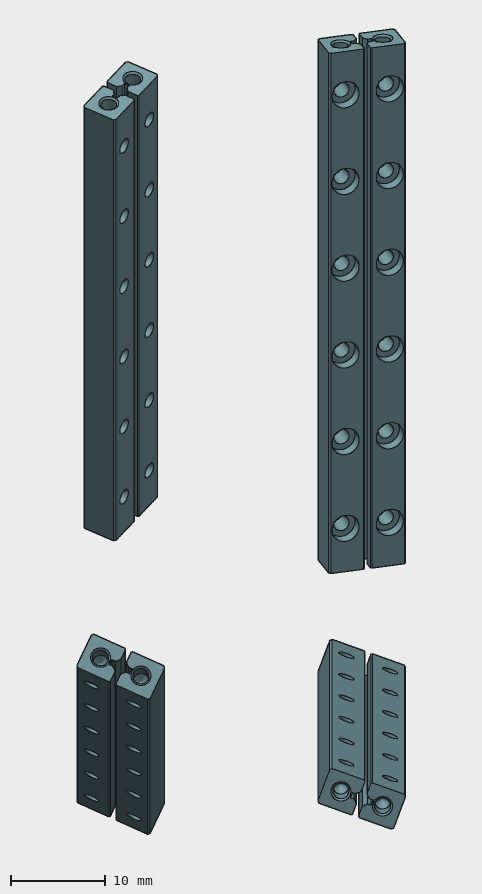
import cadquery as cq
import math

length = 60.0
thickness = 4.0
overall_width = 8.5
rail_gap = 0.65
rail_width = (overall_width - rail_gap) / 2
outer_chamfer = 0.205
inner_chamfer = 0.1

groove_opening = 1.45
relief_width = 0.6
relief_depth = 0.85
groove_flank = (groove_opening - relief_width) / 2

hole_count = 6
hole_pitch = length / hole_count
first_hole_z = hole_pitch / 2
hole_edge_distance = 1.8
hole_diameter = 1.7
counterbore_diameter = 3.0
counterbore_depth = 1.4

end_hole_edge_distance = 1.9
end_hole_diameter = 1.7
end_hole_mouth_diameter = 2.1
end_hole_mouth_depth = (end_hole_mouth_diameter - end_hole_diameter) / 2
end_hole_depth = 2.4
end_hole_tip_angle = 90
end_hole_tip_depth = end_hole_diameter / 2 / math.tan(math.radians(end_hole_tip_angle / 2))

outer_face_y = -overall_width / 2
inner_face_y = outer_face_y + rail_width
hole_y = outer_face_y + hole_edge_distance
end_hole_y = outer_face_y + end_hole_edge_distance


def bar():
    """Plain bar on the -Y side with chamfered long corners, larger on its outer face."""
    return (
        cq.Workplane("XY")
        .center(0, outer_face_y + rail_width / 2)
        .rect(thickness, rail_width)
        .extrude(length)
        .edges("|Z and <Y")
        .chamfer(outer_chamfer)
        .faces(">Y")
        .edges("|Z")
        .chamfer(inner_chamfer)
    )


def groove():
    """V-groove with 45 degree flanks and a square relief slot at its root."""
    half_opening = groove_opening / 2
    half_relief = relief_width / 2
    flank_end_y = inner_face_y - groove_flank
    floor_y = inner_face_y - relief_depth
    return (
        cq.Workplane("XY")
        .moveTo(-half_opening, inner_face_y)
        .lineTo(-half_relief, flank_end_y)
        .lineTo(-half_relief, floor_y)
        .lineTo(half_relief, floor_y)
        .lineTo(half_relief, flank_end_y)
        .lineTo(half_opening, inner_face_y)
        .close()
        .extrude(length)
    )


def mounting_hole(z):
    """Through hole along X with a counterbore on the -X face."""
    face = cq.Workplane("YZ", origin=(-thickness / 2, hole_y, z))
    bore = face.circle(hole_diameter / 2).extrude(thickness)
    counterbore = face.circle(counterbore_diameter / 2).extrude(counterbore_depth)
    return bore.union(counterbore)


def end_hole():
    """Blind hole into the top end with a countersunk mouth and a conical bottom."""
    radius = end_hole_diameter / 2
    return (
        cq.Workplane("XZ", origin=(0, end_hole_y, length))
        .lineTo(end_hole_mouth_diameter / 2, 0)
        .lineTo(radius, -end_hole_mouth_depth)
        .lineTo(radius, -end_hole_depth)
        .lineTo(0, -end_hole_depth - end_hole_tip_depth)
        .close()
        .revolve(360, (0, 0, 0), (0, 1, 0))
    )


def rail():
    """One complete rail on the -Y side, grooved face toward +Y."""
    body = bar().cut(groove())
    for i in range(hole_count):
        body = body.cut(mounting_hole(first_hole_z + i * hole_pitch))
    top_hole = end_hole()
    bottom_hole = top_hole.mirror("XY", (0, 0, length / 2))
    return body.cut(top_hole).cut(bottom_hole)


front_rail = rail()
rails = [front_rail, front_rail.mirror("XZ")]
result = cq.Compound.makeCompound([each.val() for each in rails])